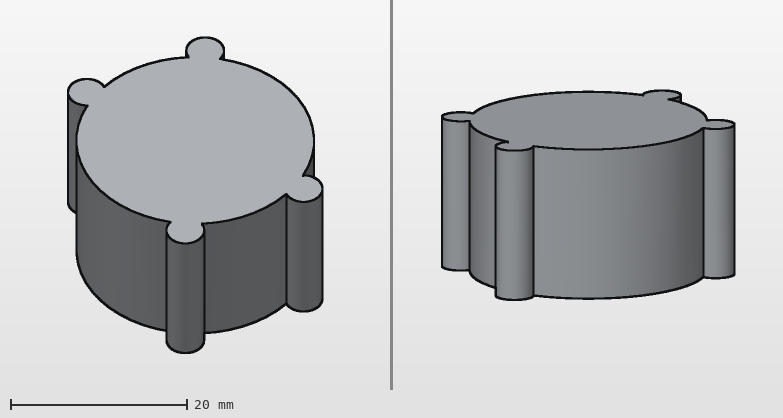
import cadquery as cq

overall_length = 29.3
height = 17.5
body_diameter = 27.0
post_diameter = 4.3
post_spacing_y = 15.03

post_spacing_x = overall_length - post_diameter

body = cq.Workplane("XY").circle(body_diameter / 2).extrude(height)

posts = (
    cq.Workplane("XY")
    .rect(post_spacing_x, post_spacing_y, forConstruction=True)
    .vertices()
    .circle(post_diameter / 2)
    .extrude(height)
)

result = body.union(posts)